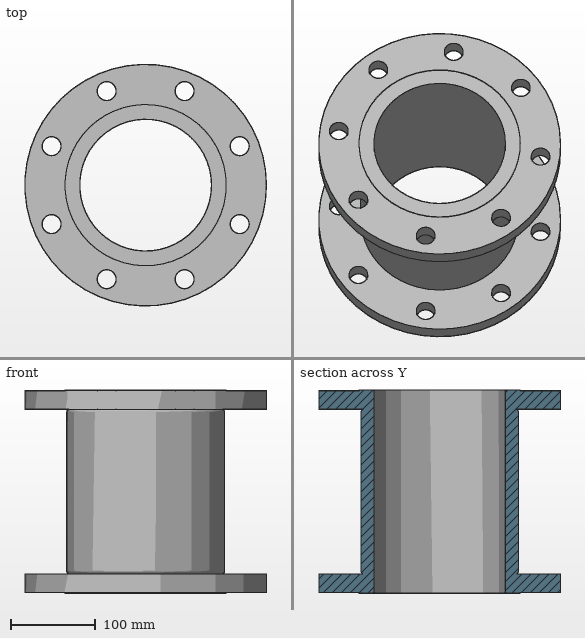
import cadquery as cq

total_length = 240.0
body_diameter = 186.4
bore_diameter = 155.0
body_edge_radius = 3.5

flange_diameter = 285.0
flange_thickness = 22.0
raised_face_diameter = 190.0
raised_face_height = 1.0

bolt_count = 8
bolt_hole_diameter = 22.0
bolt_circle_diameter = 240.0
first_bolt_angle = 180.0 / bolt_count

half_length = total_length / 2
flange_outer_z = half_length - raised_face_height
flange_inner_z = flange_outer_z - flange_thickness


def make_disc(diameter, bottom_z, height):
    """Solid disc about the Z axis, growing upward from bottom_z."""
    return cq.Workplane("XY", origin=(0, 0, bottom_z)).circle(diameter / 2).extrude(height)


def make_body():
    """Pipe barrel between the flanges, with its end edges rounded."""
    barrel = make_disc(body_diameter, -flange_inner_z, 2 * flange_inner_z)
    return barrel.edges("%CIRCLE").fillet(body_edge_radius)


def make_top_flange():
    """Drilled flange with a raised sealing face."""
    plate = make_disc(flange_diameter, flange_inner_z, flange_thickness)
    raised_face = make_disc(raised_face_diameter, flange_outer_z, raised_face_height)
    bolt_holes = (
        cq.Workplane("XY", origin=(0, 0, flange_inner_z))
        .polarArray(bolt_circle_diameter / 2, first_bolt_angle, 360, bolt_count)
        .circle(bolt_hole_diameter / 2)
        .extrude(flange_thickness)
    )
    return plate.union(raised_face).cut(bolt_holes)


top_flange = make_top_flange()
bottom_flange = top_flange.mirror("XY")
bore = make_disc(bore_diameter, -half_length, total_length)

result = make_body().union(top_flange).union(bottom_flange).cut(bore)